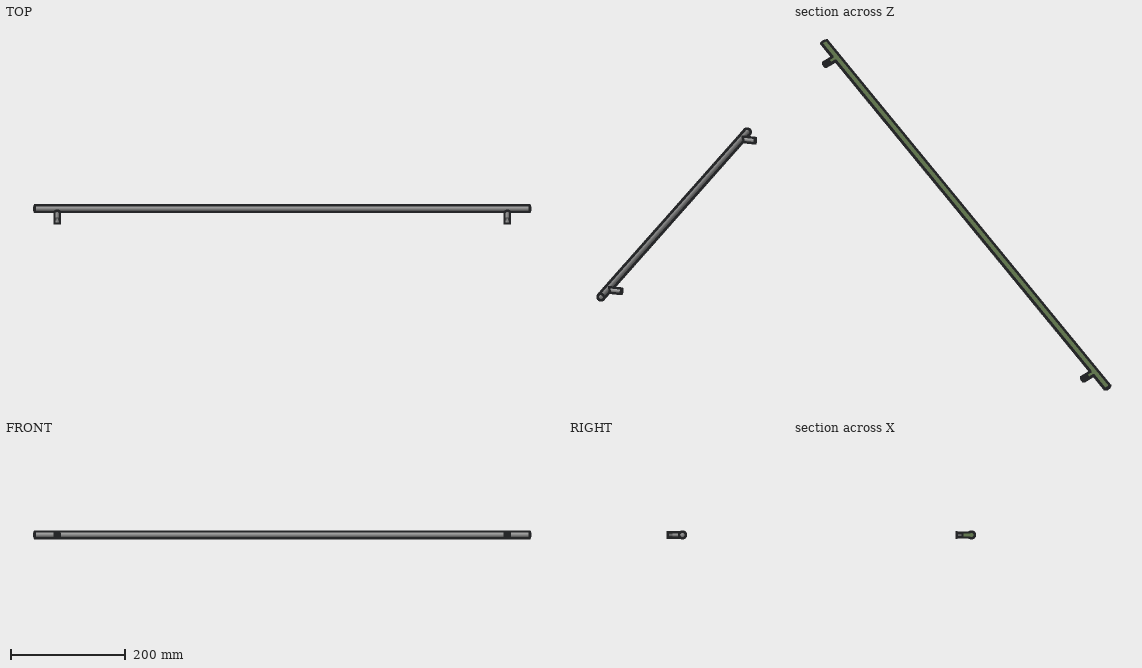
import cadquery as cq

bar_length = 863.0
bar_diameter = 12.0
overall_depth = 32.0
dome_height = 1.5
end_overhang = 40.0
post_diameter = 10.0
screw_hole_diameter = 4.0
screw_hole_depth = 10.0

bar_radius = bar_diameter / 2
post_spacing = bar_length - 2 * end_overhang
foot_y = bar_radius - overall_depth


def rod_along_y(x, diameter, length):
    """Round rod standing on the foot plane at x and running towards the bar."""
    rod_plane = cq.Plane(origin=(x, foot_y, 0), xDir=(1, 0, 0), normal=(0, 1, 0))
    return cq.Workplane(rod_plane).circle(diameter / 2).extrude(length)


def make_bar():
    """Round bar along X, centred on the origin, with a shallow dome on each end."""
    tip_x = bar_length / 2
    rim_x = tip_x - dome_height
    dome_radius = (bar_radius**2 + dome_height**2) / (2 * dome_height)
    half_profile = (
        cq.Workplane("XY")
        .moveTo(-tip_x, 0)
        .radiusArc((-rim_x, -bar_radius), -dome_radius)
        .lineTo(rim_x, -bar_radius)
        .radiusArc((tip_x, 0), -dome_radius)
        .close()
    )
    return half_profile.revolve(360, (0, 0, 0), (1, 0, 0))


result = make_bar()
for post_x in (-post_spacing / 2, post_spacing / 2):
    post = rod_along_y(post_x, post_diameter, -foot_y)
    screw_hole = rod_along_y(post_x, screw_hole_diameter, screw_hole_depth)
    result = result.union(post).cut(screw_hole)